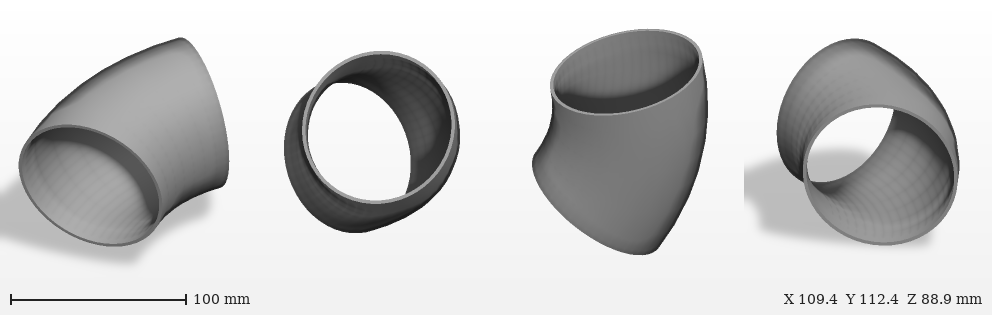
import cadquery as cq

OUTER_DIAMETER = 88.9
WALL_THICKNESS = 2.0
BEND_RADIUS = 114.5
BEND_ANGLE = 45.0

INNER_DIAMETER = OUTER_DIAMETER - 2 * WALL_THICKNESS


def pipe_elbow():
    """Sweep the pipe's ring section about a vertical bend axis on its +X side.

    The starting end lies in the XZ plane, centred on the origin, and the pipe
    leaves it along +Y, curving toward +X.
    """
    bend_axis_start = (BEND_RADIUS, 0)
    bend_axis_end = (BEND_RADIUS, -1)
    return (
        cq.Workplane("XZ")
        .circle(OUTER_DIAMETER / 2)
        .circle(INNER_DIAMETER / 2)
        .revolve(BEND_ANGLE, bend_axis_start, bend_axis_end)
    )


result = pipe_elbow()